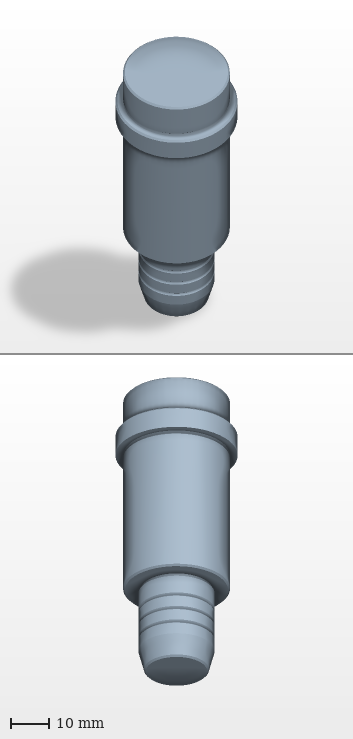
import math

import cadquery as cq

total_height = 80.0
collar_top = 70.0
collar_bottom = 64.0
body_bottom = 24.0
taper_top = 6.0

collar_radius = 16.0
body_radius = 14.0
stem_radius = 10.0

taper_angle = math.radians(15)
tip_radius = stem_radius - taper_top * math.tan(taper_angle)

edge_break = 0.5
neck_depth = 0.5
neck_height = 1.0
groove_depth = 0.5
stem_groove_pitch = 4.0
lowest_stem_groove = 9.6
stem_groove_count = 3


def cylinder(radius, bottom, top):
    return cq.Workplane("XY").workplane(offset=bottom).circle(radius).extrude(top - bottom)


def v_groove(surface_radius, height):
    """Ring that cuts a 90 degree V groove, centred at the given height."""
    profile = [
        (surface_radius, height - groove_depth),
        (surface_radius - groove_depth, height),
        (surface_radius, height + groove_depth),
    ]
    return cq.Workplane("XZ").polyline(profile).close().revolve(360, (0, 0), (0, 1))


body = cylinder(body_radius, body_bottom, total_height).faces("<Z or >Z").chamfer(edge_break)
collar = cylinder(collar_radius, collar_bottom, collar_top).faces(">Z").chamfer(edge_break)

stem_top = body_bottom - neck_height
neck_radius = stem_radius - neck_depth
break_radius = tip_radius + edge_break * math.tan(taper_angle)
stem_profile = [
    (0, 0),
    (break_radius - edge_break, 0),
    (break_radius, edge_break),
    (stem_radius, taper_top),
    (stem_radius, stem_top),
    (neck_radius, stem_top),
    (neck_radius, body_bottom),
    (0, body_bottom),
]
stem = cq.Workplane("XZ").polyline(stem_profile).close().revolve(360, (0, 0), (0, 1))

result = body.union(collar).union(stem)

for groove_height in (collar_bottom - groove_depth, collar_top + groove_depth):
    result = result.cut(v_groove(body_radius, groove_height))

for index in range(stem_groove_count):
    groove_height = lowest_stem_groove + index * stem_groove_pitch
    result = result.cut(v_groove(stem_radius, groove_height))